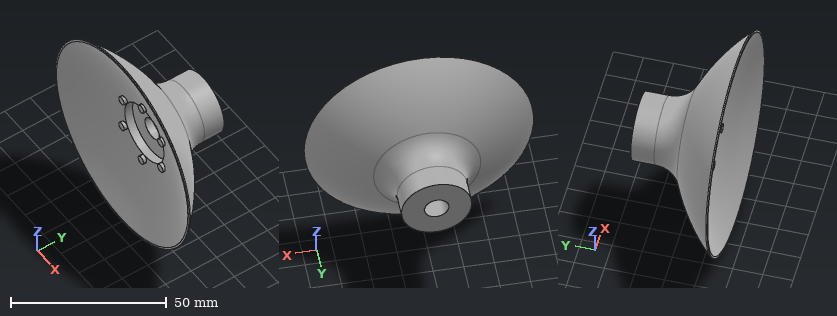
import cadquery as cq
import math


height = 32.0
rim_radius = 37.5

lip_height = 0.45
stem_radius = 11.5
stem_length = 7.8
neck_arc_radius = 10.0
flare_start_height = 15.1
flare_mid_radius = 28.2
flare_mid_height = 8.7

lip_width = 0.75
dish_radius = 75.75

recess_radius = 10.95
recess_floor_height = 11.8
bore_radius = 4.0

peg_count = 6
peg_radius = 1.5
peg_circle_radius = 12.5
peg_face_height = 7.35
peg_start_angle = 90


def dish_height(radius):
    """Height of the inner spherical surface above the rim plane."""
    rim_depth = math.sqrt(dish_radius**2 - (rim_radius - lip_width) ** 2)
    return math.sqrt(dish_radius**2 - radius**2) - rim_depth


def neck_radius(height_on_neck):
    """Outer radius on the concave neck, which leaves the stem tangentially."""
    drop = height - stem_length - height_on_neck
    return stem_radius + neck_arc_radius - math.sqrt(neck_arc_radius**2 - drop**2)


def make_cup():
    """Revolve the wall profile, drawn as (radius, height), about the Y axis."""
    neck_top = height - stem_length
    neck_mid_height = (neck_top + flare_start_height) / 2
    dish_rim_radius = rim_radius - lip_width
    dish_mid_radius = (dish_rim_radius + recess_radius) / 2
    profile = (
        cq.Workplane("XY")
        .moveTo(bore_radius, height)
        .lineTo(stem_radius, height)
        .lineTo(stem_radius, neck_top)
        .threePointArc(
            (neck_radius(neck_mid_height), neck_mid_height),
            (neck_radius(flare_start_height), flare_start_height),
        )
        .threePointArc((flare_mid_radius, flare_mid_height), (rim_radius, lip_height))
        .lineTo(rim_radius, 0)
        .lineTo(dish_rim_radius, 0)
        .threePointArc(
            (dish_mid_radius, dish_height(dish_mid_radius)),
            (recess_radius, dish_height(recess_radius)),
        )
        .lineTo(recess_radius, recess_floor_height)
        .lineTo(bore_radius, recess_floor_height)
        .close()
    )
    return profile.revolve(360, (0, 0, 0), (0, 1, 0))


def make_pegs():
    """Pegs along Y, rooted in the wall level with the recess floor, one of them on the +Z side."""
    embedded_length = recess_floor_height - peg_face_height
    return (
        cq.Workplane("XZ", origin=(0, peg_face_height, 0))
        .polarArray(peg_circle_radius, peg_start_angle, 360, peg_count)
        .circle(peg_radius)
        .extrude(-embedded_length)
    )


result = make_cup().union(make_pegs())